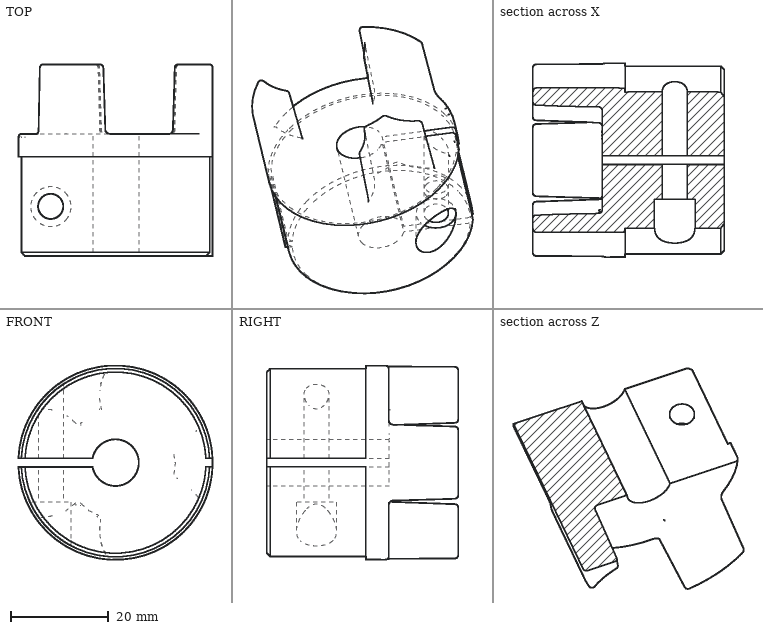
import cadquery as cq
import math

FLANGE_RADIUS = 19.89
HUB_RADIUS = 19.28
HUB_CHAMFER = 0.75
HUB_LENGTH = 20.3
JAW_ROOT_Y = 25.0
TOTAL_LENGTH = 39.22

BORE_DIAMETER = 9.5
SLOT_WIDTH = 1.7

JAW_COUNT = 3
LOBE_CENTRE_DISTANCE = 15.8
LOBE_TIP_RADIUS = 11.52
CENTRE_POCKET_TIP_RADIUS = 11.6
CENTRE_POCKET_X = 0.85
CENTRE_POCKET_Z = -0.35
DRAFT_ANGLE = 1.5
JAW_FILLET = 0.75
EDGE_MARGIN = 0.01

SCREW_X = -13.25
SCREW_Y = HUB_LENGTH / 2
SCREW_HOLE_DIAMETER = 5.1
SCREW_HEAD_DIAMETER = 8.2
SCREW_HEAD_SEAT_Z = -8.0


def disc(radius, start_y, end_y):
    """Solid cylinder on the coupling axis between two Y positions, with its seam towards +Z."""
    plane = cq.Plane(origin=(0, start_y, 0), xDir=(0, 0, 1), normal=(0, -1, 0))
    return cq.Workplane(plane).circle(radius).extrude(start_y - end_y)


def pocket(tip_radius, x, z):
    """Round pocket parallel to the axis, narrowing by the draft angle towards the jaw roots."""
    plane = cq.Workplane("XZ", origin=(x, TOTAL_LENGTH, z))
    return plane.circle(tip_radius).extrude(TOTAL_LENGTH - JAW_ROOT_Y, taper=DRAFT_ANGLE)


def jaw_end():
    """Flange disc carrying the jaws, with rounded jaw edges and roots."""
    body = disc(FLANGE_RADIUS, HUB_LENGTH, TOTAL_LENGTH)
    body = body.cut(pocket(CENTRE_POCKET_TIP_RADIUS, CENTRE_POCKET_X, CENTRE_POCKET_Z))
    for index in range(JAW_COUNT):
        angle = math.radians((index + 0.5) * 360 / JAW_COUNT)
        lobe_x = LOBE_CENTRE_DISTANCE * math.cos(angle)
        lobe_z = LOBE_CENTRE_DISTANCE * math.sin(angle)
        body = body.cut(pocket(LOBE_TIP_RADIUS, lobe_x, lobe_z))
    rounded_zone = cq.selectors.BoxSelector(
        (-FLANGE_RADIUS, JAW_ROOT_Y - EDGE_MARGIN, -FLANGE_RADIUS),
        (FLANGE_RADIUS, TOTAL_LENGTH + EDGE_MARGIN, FLANGE_RADIUS),
    )
    return body.edges(rounded_zone).fillet(JAW_FILLET)


def hub():
    """Plain clamping hub with a chamfered front rim."""
    return disc(HUB_RADIUS, 0, HUB_LENGTH).faces("<Y").chamfer(HUB_CHAMFER)


def key_rib():
    """Rib along the +X side of the hub, flush with the flange."""
    rib = cq.Workplane("XY").box(FLANGE_RADIUS, HUB_LENGTH, SLOT_WIDTH, centered=(False, False, True))
    return rib.intersect(disc(FLANGE_RADIUS, 0, HUB_LENGTH))


def clamp_slot():
    """Slot from the bore out through the -X side, over the full length."""
    slot = cq.Workplane("XY").box(FLANGE_RADIUS, TOTAL_LENGTH, SLOT_WIDTH, centered=(False, False, True))
    return slot.translate((-FLANGE_RADIUS, 0, 0))


def screw_hole():
    """Through hole along Z with a head counterbore opening on the -Z side."""
    plane = cq.Workplane("XY", origin=(SCREW_X, SCREW_Y, 0))
    hole = plane.circle(SCREW_HOLE_DIAMETER / 2).extrude(FLANGE_RADIUS, both=True)
    seat = plane.workplane(offset=SCREW_HEAD_SEAT_Z)
    head = seat.circle(SCREW_HEAD_DIAMETER / 2).extrude(-FLANGE_RADIUS)
    return hole.union(head)


result = (
    jaw_end()
    .union(hub())
    .union(key_rib())
    .cut(disc(BORE_DIAMETER / 2, 0, TOTAL_LENGTH))
    .cut(clamp_slot())
    .cut(screw_hole())
)